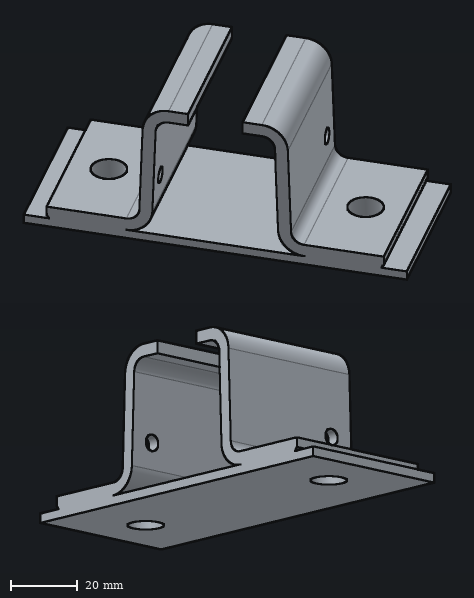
import cadquery as cq
import math

length = 119.0
width = 50.0
total_height = 47.5
plate_thickness = 3.0

sheet_thickness = 4.0
inner_radius = 4.0
outer_radius = inner_radius + sheet_thickness
lean = math.radians(2.0)
foot_end_x = -52.4
foot_bend_x = -27.6
lip_end_x = -8.5
foot_chamfer_width = 0.7
foot_chamfer_height = 1.1

mount_hole_diameter = 11.0
mount_hole_x = -39.9
web_hole_diameter = 5.0
web_hole_y = -16.9
web_hole_z = 19.0

foot_top = plate_thickness + sheet_thickness
foot_center = (foot_bend_x, foot_top + inner_radius)
lip_center_z = total_height - outer_radius
web_rise = lip_center_z - foot_center[1]
web_run = (inner_radius + outer_radius + web_rise * math.sin(lean)) / math.cos(lean)
lip_center = (foot_bend_x + web_run, lip_center_z)


def on_bend(center, radius, angle):
    """Point on a bend at the given angle in radians from +X."""
    return (center[0] + radius * math.cos(angle), center[1] + radius * math.sin(angle))


def make_bracket():
    """Left bracket: foot, leaning web and inward lip, with a hole in the web."""
    foot_side = -lean
    foot_mid = (foot_side - math.pi / 2) / 2
    lip_side = math.pi - lean
    lip_mid = (lip_side + math.pi / 2) / 2
    foot_bend_start = -math.pi / 2

    profile = (
        cq.Workplane("XZ", origin=(0, width / 2, 0))
        .moveTo(foot_end_x + foot_chamfer_width, plate_thickness)
        .lineTo(foot_end_x, plate_thickness + foot_chamfer_height)
        .lineTo(foot_end_x, foot_top)
        .lineTo(foot_bend_x, foot_top)
        .threePointArc(
            on_bend(foot_center, inner_radius, foot_mid),
            on_bend(foot_center, inner_radius, foot_side),
        )
        .lineTo(*on_bend(lip_center, outer_radius, lip_side))
        .threePointArc(
            on_bend(lip_center, outer_radius, lip_mid),
            (lip_center[0], total_height),
        )
        .lineTo(lip_end_x, total_height)
        .lineTo(lip_end_x, total_height - sheet_thickness)
        .lineTo(lip_center[0], total_height - sheet_thickness)
        .threePointArc(
            on_bend(lip_center, inner_radius, lip_mid),
            on_bend(lip_center, inner_radius, lip_side),
        )
        .lineTo(*on_bend(foot_center, outer_radius, foot_side))
        .threePointArc(
            on_bend(foot_center, outer_radius, foot_mid),
            on_bend(foot_center, outer_radius, foot_bend_start),
        )
        .close()
    )
    web_hole = (
        cq.Workplane("YZ", origin=(foot_end_x, 0, 0))
        .center(web_hole_y, web_hole_z)
        .circle(web_hole_diameter / 2)
        .extrude(-foot_end_x)
    )
    return profile.extrude(width).cut(web_hole)


plate = cq.Workplane("XY").box(length, width, plate_thickness, centered=(True, True, False))

left_bracket = make_bracket()
right_bracket = left_bracket.rotate((0, 0, 0), (0, 0, 1), 180)

mount_holes = (
    cq.Workplane("XY")
    .pushPoints([(mount_hole_x, 0), (-mount_hole_x, 0)])
    .circle(mount_hole_diameter / 2)
    .extrude(foot_top)
)

result = plate.union(left_bracket).union(right_bracket).cut(mount_holes)